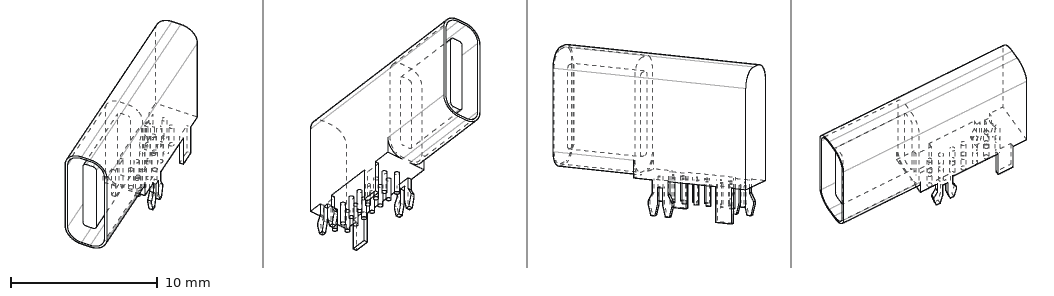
import cadquery as cq


shell_width = 3.16
shell_length = 14.55
shell_height = 8.34
shell_radius = 1.25
side_wall = 0.2
end_wall = 0.17
front_length = 6.1
cavity_depth = front_length

tongue_width = 1.0
tongue_height = 5.88
tongue_radius = 0.25
tongue_setback = 0.6

pin_diameter = 0.35
pin_length = 1.7
pins_per_row = 7
row_pitch = 0.9
row_spacing = 0.74

leg_length = 2.5
leg_thickness = 0.3
leg_width = 1.2
leg_spacing = 4.8
footprint_y = 10.48

clip_width = 1.8
clip_tip_width = 1.4
flare_start = 0.92
flare_end = 1.49
taper_start = 1.71
slot_start = 0.48
slot_width = 0.4
slot_tip_width = 0.8

embed = 0.2

mid_z = shell_height / 2
row_stagger = row_pitch / 4


def rounded_bar(width, height, radius, y_start, y_end):
    """Bar along Y with a rounded rectangular section centred in the shell."""
    bar = cq.Workplane("XY").box(width, y_end - y_start, height)
    bar = bar.edges("|Y").fillet(radius)
    return bar.translate((0, (y_start + y_end) / 2, mid_z))


def make_shell():
    """Rounded tube whose rear stretch is squared off underneath."""
    shell = rounded_bar(shell_width, shell_height, shell_radius, 0, shell_length)
    rear_base = cq.Workplane("XY").box(
        shell_width, shell_length - front_length, mid_z, centered=(True, False, False)
    ).translate((0, front_length, 0))
    cavity = rounded_bar(
        shell_width - 2 * side_wall,
        shell_height - 2 * end_wall,
        shell_radius - side_wall,
        0,
        cavity_depth,
    )
    return shell.union(rear_base).cut(cavity)


def make_tongue():
    """Tongue standing in the cavity, rooted in the cavity floor."""
    return rounded_bar(
        tongue_width, tongue_height, tongue_radius, tongue_setback, cavity_depth + embed
    )


def make_pin_row(x, y_mid):
    """Row of round pins along Y, hanging from the shell underside."""
    first_y = y_mid - row_pitch * (pins_per_row - 1) / 2
    centres = [(x, first_y + i * row_pitch) for i in range(pins_per_row)]
    return (
        cq.Workplane("XY", origin=(0, 0, -pin_length))
        .pushPoints(centres)
        .circle(pin_diameter / 2)
        .extrude(pin_length + embed)
    )


def extrude_leg(profile, x_start):
    """Plate of leg thickness, running in +X from x_start, shaped by a list of (y, z) points."""
    return (
        cq.Workplane("YZ", origin=(x_start, 0, 0)).polyline(profile).close().extrude(leg_thickness)
    )


def mirrored_profile(y_mid, half_outline):
    """Closed outline from (half width, z) points, mirrored about y_mid."""
    right = [(y_mid + half, z) for half, z in half_outline]
    left = [(y_mid - half, z) for half, z in reversed(half_outline)]
    return right + left


def make_flat_leg(x_start, y_mid):
    """Straight rectangular leg."""
    outline = [(leg_width / 2, embed), (leg_width / 2, -leg_length)]
    return extrude_leg(mirrored_profile(y_mid, outline), x_start)


def make_clip(x_start, y_mid):
    """Leg that flares out to a barb and is split by a slot open at the tip."""
    outline = [
        (leg_width / 2, embed),
        (leg_width / 2, -flare_start),
        (clip_width / 2, -flare_end),
        (clip_width / 2, -taper_start),
        (clip_tip_width / 2, -leg_length),
    ]
    slot = [
        (slot_width / 2, -slot_start),
        (slot_width / 2, -taper_start),
        (slot_tip_width / 2, -leg_length),
    ]
    clip = extrude_leg(mirrored_profile(y_mid, outline), x_start)
    return clip.cut(extrude_leg(mirrored_profile(y_mid, slot), x_start))


front_leg_y = footprint_y - leg_spacing / 2
rear_leg_y = footprint_y + leg_spacing / 2
left_leg_x = -shell_width / 2
right_leg_x = shell_width / 2 - leg_thickness

result = (
    make_shell()
    .union(make_tongue())
    .union(make_pin_row(-row_spacing / 2, footprint_y + row_stagger))
    .union(make_pin_row(row_spacing / 2, footprint_y - row_stagger))
    .union(make_flat_leg(left_leg_x, front_leg_y))
    .union(make_clip(left_leg_x, rear_leg_y))
    .union(make_clip(right_leg_x, front_leg_y))
    .union(make_flat_leg(right_leg_x, rear_leg_y))
)